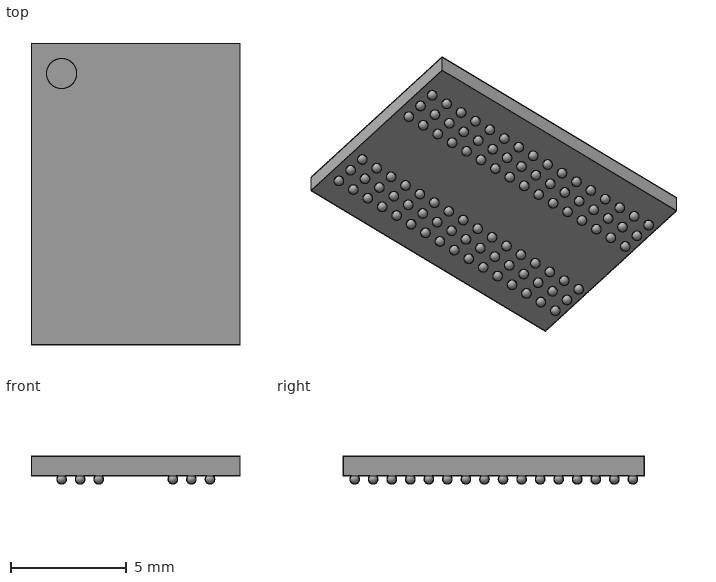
import cadquery as cq

length = 13.0
width = 9.0
total_height = 1.21
body_thickness = 0.86
standoff = total_height - body_thickness

ball_diameter = 0.42
ball_radius = ball_diameter / 2
row_span = 12.0
row_count = 16
ball_pitch = row_span / (row_count - 1)
columns_per_bank = 3
bank_inner_offset = 2 * ball_pitch

mark_diameter = 1.3
mark_edge_distance = 1.3
mark_depth = 0.006


def make_body():
    return (
        cq.Workplane("XY")
        .workplane(offset=standoff)
        .rect(width, length)
        .extrude(body_thickness)
    )


def make_pin_one_mark():
    mark_x = -width / 2 + mark_edge_distance
    mark_y = length / 2 - mark_edge_distance
    return (
        cq.Workplane("XY")
        .workplane(offset=total_height - mark_depth)
        .center(mark_x, mark_y)
        .circle(mark_diameter / 2)
        .extrude(mark_depth)
    )


def ball_centers():
    """Two mirrored banks of columns with an empty channel between them."""
    centers = []
    for side in (-1, 1):
        for column in range(columns_per_bank):
            x = side * (bank_inner_offset + column * ball_pitch)
            for row in range(row_count):
                y = (row - (row_count - 1) / 2) * ball_pitch
                centers.append((x, y, ball_radius))
    return centers


def make_balls():
    return cq.Workplane("XY").pushPoints(ball_centers()).sphere(ball_radius, combine=False)


result = make_body().cut(make_pin_one_mark()).union(make_balls())